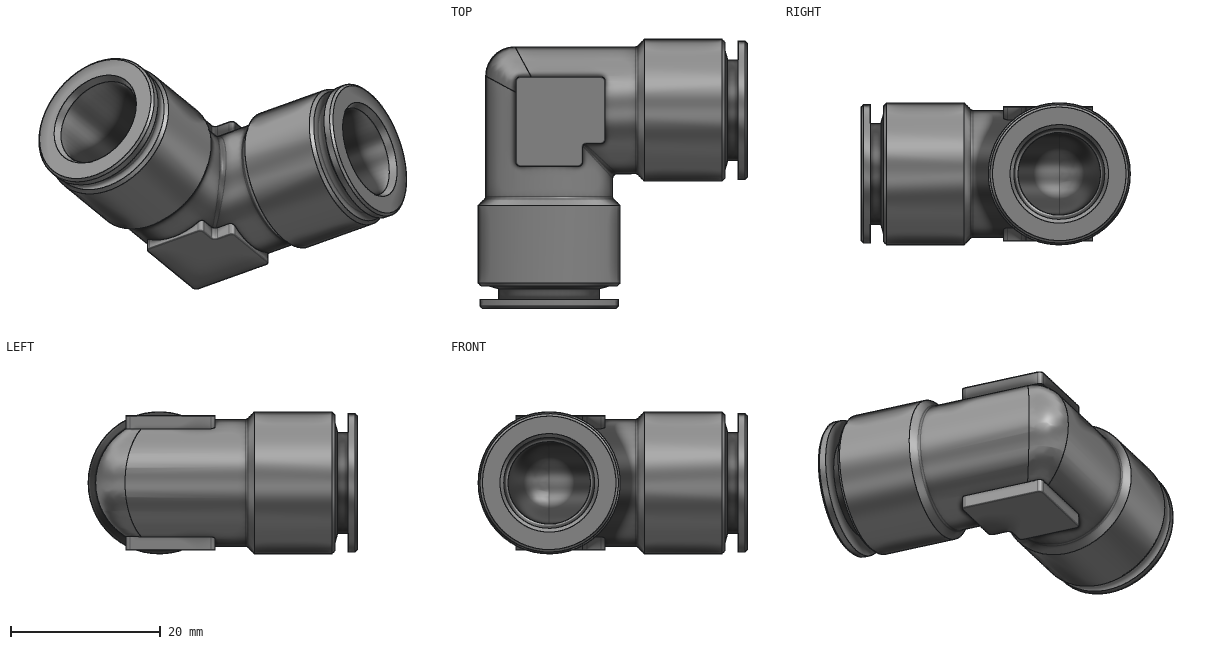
import cadquery as cq
import math

arm_length = 26.5

body_radius = 17.0 / 2
corner_radius = 3.92
inner_corner_fillet = 0.58
core_fraction = 0.2
core_overlap = 0.35
dome_sections = 9
half_steps = 6

collar_radius = 19.0 / 2
lead_end = 12.75
lead_blend = 0.18
collar_end = 23.5
collar_chamfer = 0.45
nose_radius = 8.0
nose_end = 23.85

neck_radius = 13.5 / 2
flange_radius = 18.5 / 2
flange_start = 25.27
flange_chamfer = 0.32

tube_radius = 12.15 / 2
tube_depth = 14.4
tube_stop_run = 0.32
mouth_radius = 13.18 / 2
mouth_depth = 0.9
passage_radius = 11.0 / 2

pad_half_width = 4.45
pad_reach = 7.5
pad_top = 9.0
pad_bottom = 7.2
pad_corner = 0.58
pad_edge_round = 0.1

dome_start = body_radius - corner_radius


def both_arms(shape):
    """Combine a shape along +X with its mirror image along -Y."""
    turned = shape.rotate((0, 0, 0), (1, 1, 0), 180).rotate((0, 0, 0), (0, 0, 1), 180)
    return shape.union(turned)


def revolved(profile):
    """Revolve (position along X, radius) points around the X axis."""
    return cq.Workplane("XY").polyline(profile).close().revolve(360, (0, 0, 0), (1, 0, 0))


def straight_arm():
    """Cylinder whose corner end stops at the straight edge of the dome."""
    start = -dome_start
    arm = cq.Workplane("YZ").workplane(offset=start).circle(body_radius).extrude(collar_end - start)
    outline = [
        (0, 0),
        (-dome_start, body_radius),
        (collar_end, body_radius),
        (collar_end, -body_radius),
        (0, -body_radius),
    ]
    keep = cq.Workplane("XY").polyline(outline).close().extrude(body_radius, both=True)
    return arm.intersect(keep)


def dome_section(angle):
    """Vertical elliptical slice of the dome at one angle of the rounded corner."""
    x = -dome_start - corner_radius * math.cos(angle)
    y = dome_start + corner_radius * math.sin(angle)
    span = math.hypot(x, y)
    plane = cq.Plane(origin=(0, 0, 0), xDir=(0, 0, 1), normal=(y, -x, 0))
    outward = plane.yDir.dot(cq.Vector(x, y, 0)) / span
    limit = math.acos(core_fraction)
    points = []
    for step in range(-half_steps, half_steps + 1):
        lean = limit * step / half_steps
        local = (body_radius * math.sin(lean), outward * span * math.cos(lean))
        points.append(plane.toWorldCoords(local))
    curve = cq.Edge.makeSpline(points)
    chord = cq.Edge.makeLine(points[-1], points[0])
    return cq.Wire.assembleEdges([curve, chord])


def corner_dome():
    angles = [math.pi / 2 * step / (dome_sections - 1) for step in range(dome_sections)]
    return cq.Workplane(cq.Solid.makeLoft([dome_section(angle) for angle in angles]))


def corner_core():
    """Fill between the dome and the arms; the pads cover its ends."""
    size = 2 * core_fraction * body_radius + core_overlap
    return cq.Workplane("XY").box(size, size, 2 * body_radius)


def collar():
    cone_foot = lead_end - (collar_radius - body_radius)
    blend_rise = lead_blend * math.sqrt(0.5)
    blend_radius = lead_blend / math.tan(math.pi / 8)
    blend_middle = (
        cone_foot - lead_blend + blend_radius * math.sin(math.pi / 8),
        body_radius + blend_radius * (1 - math.cos(math.pi / 8)),
    )
    profile = (
        cq.Workplane("XY")
        .moveTo(cone_foot - lead_blend, 0)
        .lineTo(cone_foot - lead_blend, body_radius)
        .threePointArc(blend_middle, (cone_foot + blend_rise, body_radius + blend_rise))
        .lineTo(lead_end, collar_radius)
        .lineTo(collar_end - collar_chamfer, collar_radius)
        .lineTo(collar_end, collar_radius - collar_chamfer)
        .lineTo(collar_end, nose_radius)
        .lineTo(nose_end, neck_radius)
        .lineTo(nose_end, 0)
        .close()
    )
    return profile.revolve(360, (0, 0, 0), (1, 0, 0))


def sleeve():
    return revolved([
        (collar_end, 0),
        (collar_end, neck_radius),
        (flange_start, neck_radius),
        (flange_start, flange_radius),
        (arm_length - flange_chamfer, flange_radius),
        (arm_length, flange_radius - flange_chamfer),
        (arm_length, 0),
    ])


def pad():
    outline = [
        (-pad_half_width, pad_half_width),
        (pad_reach, pad_half_width),
        (pad_reach, -pad_half_width),
        (pad_half_width, -pad_half_width),
        (pad_half_width, -pad_reach),
        (-pad_half_width, -pad_reach),
    ]
    block = (
        cq.Workplane("XY")
        .workplane(offset=pad_bottom)
        .polyline(outline)
        .close()
        .extrude(pad_top - pad_bottom)
    )
    return block.edges("|Z").fillet(pad_corner).faces(">Z").edges().fillet(pad_edge_round)


def bore():
    return revolved([
        (0, 0),
        (0, passage_radius),
        (arm_length - tube_depth - tube_stop_run, passage_radius),
        (arm_length - tube_depth, tube_radius),
        (arm_length - mouth_depth, tube_radius),
        (arm_length, mouth_radius),
        (arm_length, 0),
    ])


body = both_arms(straight_arm())
inner_corner = cq.selectors.BoxSelector(
    (0, 0, -collar_radius), (collar_radius, -collar_radius, collar_radius)
)
body = body.edges(inner_corner).fillet(inner_corner_fillet)
body = body.union(corner_dome()).union(corner_core())
body = body.union(both_arms(collar())).union(both_arms(sleeve()))
top_pad = pad()
body = body.union(top_pad).union(top_pad.mirror("XY"))
passages = both_arms(bore()).union(cq.Workplane("XY").sphere(passage_radius))
result = body.cut(passages)